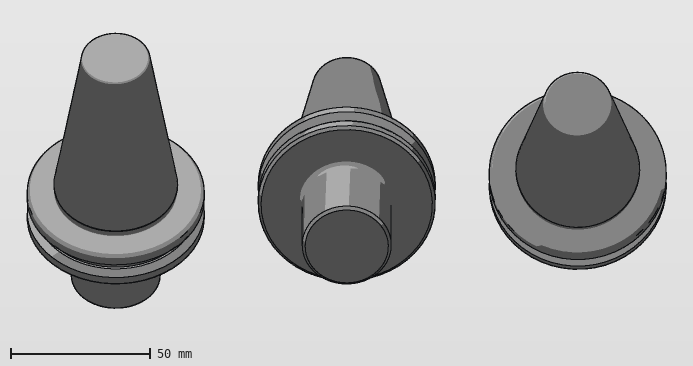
import cadquery as cq

total_height = 118.4
gauge_level = 50.0
neck_top = 49.4
flange_top = 46.9
flange_bottom = 31.0

gauge_radius = 22.3
taper_slope = 7 / 48
taper_top_radius = gauge_radius - (total_height - gauge_level) * taper_slope
taper_top_fillet = 1.0
neck_radius = 22.0

flange_diameter = 63.6
flange_radius = flange_diameter / 2
flange_chamfer = 1.1
small_edge_fillet = 0.2
groove_center = (flange_top + flange_bottom) / 2
groove_mouth_width = 6.9
groove_inner_width = 3.8
groove_wall_radius = 29.0
groove_floor_radius = 28.2

nose_radius = 16.0
nose_chamfer = 1.1
nose_root_fillet = 2.0


def circles_at(level):
    """Selector for every circular edge at the given height."""
    margin = 0.06
    reach = flange_radius + margin
    return cq.selectors.BoxSelector(
        (-reach, -reach, level - margin),
        (reach, reach, level + margin),
        boundingbox=True,
    )


def turned_body():
    """Solid of revolution: nose, flange, neck and taper."""
    profile = (
        cq.Workplane("XZ")
        .lineTo(nose_radius - nose_chamfer, 0)
        .lineTo(nose_radius, nose_chamfer)
        .lineTo(nose_radius, flange_bottom - nose_root_fillet)
        .radiusArc(
            (nose_radius + nose_root_fillet, flange_bottom),
            nose_root_fillet,
        )
        .lineTo(flange_radius - flange_chamfer, flange_bottom)
        .lineTo(flange_radius, flange_bottom + flange_chamfer)
        .lineTo(flange_radius, flange_top - flange_chamfer)
        .lineTo(flange_radius - flange_chamfer, flange_top)
        .lineTo(neck_radius, flange_top)
        .lineTo(neck_radius, neck_top)
        .lineTo(gauge_radius, gauge_level)
        .lineTo(taper_top_radius, total_height)
        .lineTo(0, total_height)
        .close()
    )
    body = profile.revolve(360, (0, 0, 0), (0, 1, 0))
    body = body.faces(">Z").edges().fillet(taper_top_fillet)
    small_edges = circles_at(flange_top) + circles_at(flange_top - flange_chamfer)
    return body.edges(small_edges).fillet(small_edge_fillet)


def gripper_groove():
    """Ring to cut: sloping walls that end at a narrow square-sided floor."""
    half_mouth = groove_mouth_width / 2
    half_inner = groove_inner_width / 2
    profile = (
        cq.Workplane("XZ")
        .moveTo(groove_floor_radius, groove_center - half_inner)
        .lineTo(groove_wall_radius, groove_center - half_inner)
        .lineTo(flange_radius, groove_center - half_mouth)
        .lineTo(flange_radius, groove_center + half_mouth)
        .lineTo(groove_wall_radius, groove_center + half_inner)
        .lineTo(groove_floor_radius, groove_center + half_inner)
        .close()
    )
    return profile.revolve(360, (0, 0, 0), (0, 1, 0))


result = turned_body().cut(gripper_groove())